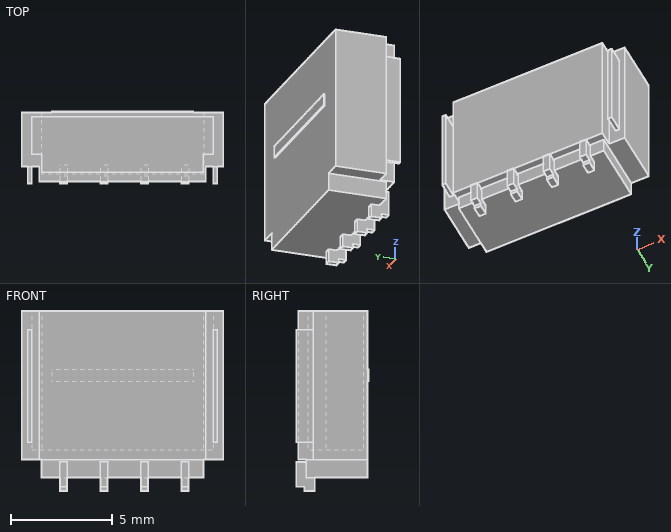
import cadquery as cq


housing_width = 9.95
housing_height = 7.34
side_depth = 2.68
housing_depth = 3.42
middle_width = 8.24

side_wall = 0.5
back_wall = 0.22
front_wall = 0.46
floor_thickness = side_wall
recess_width = housing_width - 2 * side_wall
recess_step_depth = 2.07
narrow_width = 7.96

base_width = 8.0
base_depth = 3.03
base_height = 0.9

pad_width = 6.99
pad_height = 0.6
pad_thickness = 0.06
pad_center_z = 4.16

front_reach = 3.52
tab_thickness = 0.21
tab_height = 5.56
tab_top_gap = 0.93

contact_count = 4
contact_pitch = 2.0
contact_width = 0.36
contact_row_center = 0.09
contact_top_gap = 0.11
contact_drop = 1.55
contact_reach = 0.93
toe_depth = 0.39
toe_height = 0.21


def box(x_center, width, depth_from, depth_to, z_from, z_to):
    """Box centred on x_center, between two depths measured forward from the back face."""
    return (
        cq.Workplane("XY")
        .box(width, depth_to - depth_from, z_to - z_from, centered=(True, False, False))
        .translate((x_center, -depth_to, z_from))
    )


def stepped_block(wide_width, front_width, back, step, front, z_from, z_to):
    """Upright block with full width up to the step depth and a narrower middle in front of it."""
    wide_part = box(0, wide_width, back, step, z_from, z_to)
    middle_part = box(0, front_width, back, front, z_from, z_to)
    return wide_part.union(middle_part)


def make_insert():
    """Insert that fills the recess and ends flush with the top of the housing."""
    return stepped_block(
        recess_width,
        narrow_width,
        back_wall,
        recess_step_depth,
        housing_depth - front_wall,
        floor_thickness,
        housing_height,
    )


def make_tab(side):
    """Solder tab standing on one side shoulder, in line with the inner face of the side wall."""
    x_center = side * (recess_width + tab_thickness) / 2
    tab_top = housing_height - tab_top_gap
    return box(x_center, tab_thickness, side_depth, front_reach, tab_top - tab_height, tab_top)


def make_contact(x_center):
    """Contact with a leg in front of the base block, a foot under it and a notched toe."""
    foot_back = -(front_reach - contact_reach)
    contact_front = -front_reach
    toe_back = contact_front + toe_depth
    profile = [
        (-base_depth, -contact_top_gap),
        (contact_front, -contact_top_gap),
        (contact_front, toe_height - contact_drop),
        (toe_back, toe_height - contact_drop),
        (toe_back, -contact_drop),
        (foot_back, -contact_drop),
        (foot_back, -base_height),
        (-base_depth, -base_height),
    ]
    return (
        cq.Workplane("YZ")
        .polyline(profile)
        .close()
        .extrude(contact_width / 2, both=True)
        .translate((x_center, 0, 0))
    )


def make_housing():
    """Shell with its recess, base block, back pad, solder tabs and contacts as one body."""
    shell = stepped_block(housing_width, middle_width, 0, side_depth, housing_depth, 0, housing_height)
    body = shell.cut(make_insert())

    body = body.union(box(0, base_width, 0, base_depth, -base_height, 0))

    pad_bottom = pad_center_z - pad_height / 2
    body = body.union(box(0, pad_width, -pad_thickness, 0, pad_bottom, pad_bottom + pad_height))

    for side in (-1, 1):
        body = body.union(make_tab(side))

    first_contact = contact_row_center - contact_pitch * (contact_count - 1) / 2
    for index in range(contact_count):
        body = body.union(make_contact(first_contact + index * contact_pitch))
    return body


housing = make_housing()
insert = make_insert()
result = cq.Compound.makeCompound([housing.val(), insert.val()])